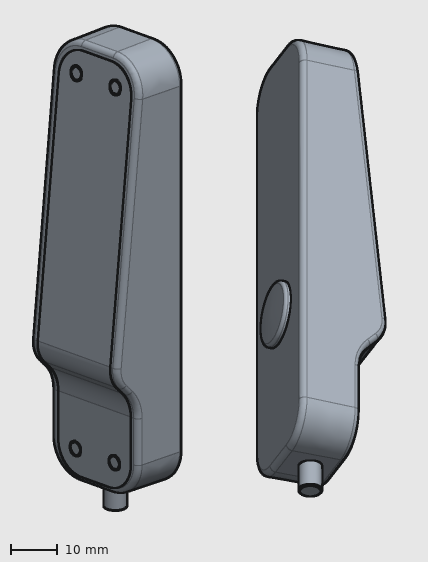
import cadquery as cq
import math

total_height = 106.7
body_width = 26.7
body_height = 100.6
corner_radius = 8.5
draft_angle = 1.0
back_fillet = 1.3
front_fillet = 1.3

lower_depth = 13.7
top_depth = 12.6
peak_depth = 20.2
peak_height = 29.2
step_angle = 45.0
peak_fillet = 6.4
step_fillet = 8.5

panel_recess = 0.1
panel_width = 21.9
panel_bottom_margin = 1.4
panel_top_margin = 2.1
panel_corner_radius = 6.7

screw_hole_diameter = 3.4
screw_head_diameter = 2.9
screw_gap_depth = 0.3
screw_x = 5.9
lower_screw_z = 7.4
upper_screw_z = 93.0

button_diameter = 14.6
button_height = 1.6
button_rim_height = 1.4
button_fillet = 0.7
button_z = 36.1

cable_diameter = 5.1
cable_length = total_height - body_height
cable_depth = 7.4
cable_chamfer = 0.3

overshoot = 5.3


def rounded_sketch(width, height, radius):
    return cq.Sketch().rect(width, height).vertices().fillet(radius)


def make_outline_block():
    """Rounded upright block: straight along the back fillet, then narrowing toward the front."""
    outline = rounded_sketch(body_width, body_height, corner_radius)
    back = (
        cq.Workplane("XZ", origin=(0, 0, body_height / 2))
        .placeSketch(outline)
        .extrude(back_fillet)
    )
    front = (
        cq.Workplane("XZ", origin=(0, -back_fillet, body_height / 2))
        .placeSketch(outline)
        .extrude(peak_depth, taper=draft_angle)
    )
    return back.union(front)


def make_side_profile():
    """Side silhouette with the stepped front, wider and taller than the body."""
    step_z = peak_height - (peak_depth - lower_depth) / math.tan(math.radians(step_angle))
    lean_slope = (peak_depth - top_depth) / (body_height - peak_height)
    profile = (
        cq.Workplane("YZ")
        .moveTo(overshoot, -overshoot)
        .lineTo(-lower_depth, -overshoot)
        .lineTo(-lower_depth, step_z)
        .lineTo(-peak_depth, peak_height)
        .lineTo(-top_depth + overshoot * lean_slope, body_height + overshoot)
        .lineTo(overshoot, body_height + overshoot)
        .close()
        .extrude(body_width, both=True)
    )
    peak_edge = cq.selectors.NearestToPointSelector((0, -peak_depth, peak_height))
    profile = profile.edges(peak_edge).fillet(peak_fillet)
    step_edge = cq.selectors.NearestToPointSelector((0, -lower_depth, step_z))
    return profile.edges(step_edge).fillet(step_fillet)


def make_body(side_profile):
    body = make_outline_block().intersect(side_profile)
    body = body.faces(">Y").edges().fillet(back_fillet)
    lower_face_point = (0, -lower_depth, lower_screw_z)
    lower_face = body.faces(cq.selectors.NearestToPointSelector(lower_face_point))
    return lower_face.edges("<Z").fillet(front_fillet)


def cut_to_depth(body, side_profile, tool, depth):
    """Remove the part of the tool lying within the given depth of the front surface."""
    floor = side_profile.translate((0, depth, 0))
    return body.cut(tool.cut(floor))


def make_panel_tool():
    panel_height = body_height - panel_bottom_margin - panel_top_margin
    panel_z = panel_bottom_margin + panel_height / 2
    return (
        cq.Workplane("XZ", origin=(0, 0, panel_z))
        .placeSketch(rounded_sketch(panel_width, panel_height, panel_corner_radius))
        .extrude(peak_depth + overshoot)
    )


def make_screw_gap_tool():
    places = [(x, z) for x in (-screw_x, screw_x) for z in (lower_screw_z, upper_screw_z)]
    return (
        cq.Workplane("XZ")
        .pushPoints(places)
        .circle(screw_hole_diameter / 2)
        .circle(screw_head_diameter / 2)
        .extrude(peak_depth + overshoot)
    )


def make_button():
    """Button with a rounded rim and a slightly domed top, rooted inside the body."""
    radius = button_diameter / 2
    shoulder = radius - button_fillet
    arc_mid = button_fillet * math.sin(math.radians(45))
    fillet_base = button_rim_height - button_fillet
    dome_rise = button_height - button_rim_height
    dome_radius = (shoulder**2 + dome_rise**2) / (2 * dome_rise)
    half_shoulder = shoulder / 2
    dome_sag = dome_radius - math.sqrt(dome_radius**2 - half_shoulder**2)
    return (
        cq.Workplane("XY", origin=(0, 0, button_z))
        .moveTo(0, -back_fillet)
        .lineTo(radius, -back_fillet)
        .lineTo(radius, fillet_base)
        .threePointArc((shoulder + arc_mid, fillet_base + arc_mid), (shoulder, button_rim_height))
        .threePointArc((half_shoulder, button_height - dome_sag), (0, button_height))
        .close()
        .revolve(360, (0, 0, 0), (0, 1, 0))
    )


def make_cable():
    return (
        cq.Workplane("XY", origin=(0, -cable_depth, -cable_length))
        .circle(cable_diameter / 2)
        .extrude(cable_length + overshoot)
        .faces("<Z")
        .chamfer(cable_chamfer)
    )


side_profile = make_side_profile()
result = make_body(side_profile)
result = cut_to_depth(result, side_profile, make_panel_tool(), panel_recess)
result = cut_to_depth(result, side_profile, make_screw_gap_tool(), panel_recess + screw_gap_depth)
result = result.union(make_button()).union(make_cable())